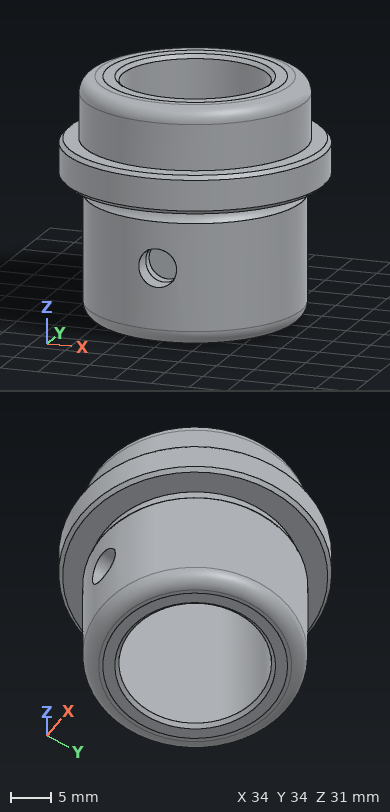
import cadquery as cq

height = 31.0
flange_bottom = 18.0
flange_top = 23.0
neck_bottom = 16.0

flange_radius = 17.0
upper_radius = 14.48
lower_radius = 14.0
neck_radius = 13.35
neck_arc_radius = 2.3
rim_fillet = 2.0
flange_chamfer = 0.5

liner_radius = 11.5
bore_radius = 9.5
bore_chamfer = 0.5

hole_diameter = 5.0
hole_center_z = 10.0
hole_depth = 4.0


def make_hole():
    """Cutter for the radial hole, starting at the lower barrel and ending on a flat floor."""
    return (
        cq.Workplane("XZ", origin=(0, -lower_radius, hole_center_z))
        .circle(hole_diameter / 2)
        .extrude(-hole_depth)
    )


def make_housing():
    """Flanged sleeve with rounded rims, a relief groove and a radial hole."""
    profile = (
        cq.Workplane("XZ")
        .moveTo(liner_radius, 0)
        .lineTo(lower_radius, 0)
        .lineTo(lower_radius, neck_bottom)
        .radiusArc((neck_radius, flange_bottom), neck_arc_radius)
        .lineTo(flange_radius, flange_bottom)
        .lineTo(flange_radius, flange_top)
        .lineTo(upper_radius, flange_top)
        .lineTo(upper_radius, height)
        .lineTo(liner_radius, height)
        .close()
    )
    housing = profile.revolve(360, (0, 0, 0), (0, 1, 0))

    for face in ("<Z", ">Z"):
        rim = cq.selectors.RadiusNthSelector(-1)
        housing = housing.faces(face).edges(rim).fillet(rim_fillet)

    flange_edges = cq.selectors.RadiusNthSelector(-1)
    housing = housing.edges("%CIRCLE").edges(flange_edges).chamfer(flange_chamfer)
    return housing.cut(make_hole())


def make_liner():
    """Bush filling the housing, its bore chamfered at both ends and its side drilled."""
    blank = cq.Workplane("XY").circle(liner_radius).circle(bore_radius).extrude(height)
    bore_edges = cq.selectors.RadiusNthSelector(0)
    bush = blank.edges("%CIRCLE").edges(bore_edges).chamfer(bore_chamfer)
    return bush.cut(make_hole())


housing = make_housing()
liner = make_liner()
result = cq.Compound.makeCompound([housing.val(), liner.val()])